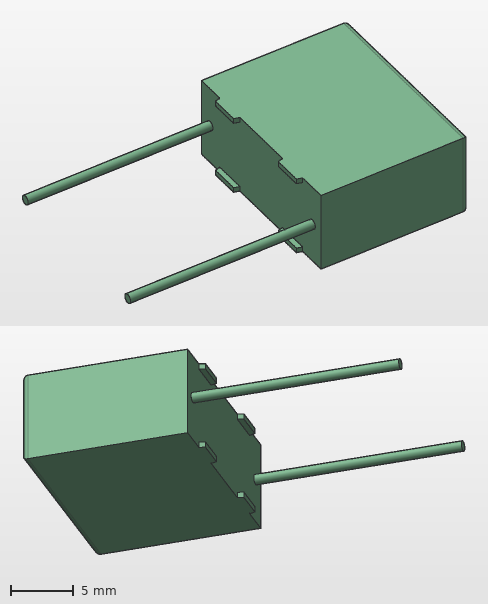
import cadquery as cq

BODY_WIDTH = 17.5
BODY_HEIGHT = 7.5
TOTAL_LENGTH = 31.5
LEAD_LENGTH = 17.5
BODY_DEPTH = TOTAL_LENGTH - LEAD_LENGTH
BACK_FILLET = 0.5

FOOT_PITCH = 9.2
FOOT_BASE_WIDTH = 2.95
FOOT_TIP_WIDTH = 2.65
FOOT_LENGTH = 0.5
FOOT_THICKNESS = 0.47

LEAD_PITCH = 15.0
LEAD_DIAMETER = 0.85

FOOT_BOTTOMS = (-BODY_HEIGHT / 2, BODY_HEIGHT / 2 - FOOT_THICKNESS)


def make_foot(x_center, z_bottom):
    """Trapezoid foot that narrows away from the lead face."""
    half_base = FOOT_BASE_WIDTH / 2
    half_tip = FOOT_TIP_WIDTH / 2
    return (
        cq.Workplane("XY")
        .polyline([(-half_base, 0), (half_base, 0), (half_tip, -FOOT_LENGTH), (-half_tip, -FOOT_LENGTH)])
        .close()
        .extrude(FOOT_THICKNESS)
        .translate((x_center, 0, z_bottom))
    )


def make_housing():
    """Block with a rounded back rim and four feet flush with its top and bottom."""
    housing = (
        cq.Workplane("XY")
        .box(BODY_WIDTH, BODY_DEPTH, BODY_HEIGHT, centered=(True, False, True))
        .faces(">Y")
        .edges()
        .fillet(BACK_FILLET)
    )
    for side in (-1, 1):
        for z_bottom in FOOT_BOTTOMS:
            housing = housing.union(make_foot(side * FOOT_PITCH / 2, z_bottom))
    return housing


def make_lead(x_center):
    """Round wire that butts against the lead face."""
    return (
        cq.Workplane("XZ")
        .center(x_center, 0)
        .circle(LEAD_DIAMETER / 2)
        .extrude(LEAD_LENGTH)
    )


housing = make_housing()
leads = [make_lead(side * LEAD_PITCH / 2) for side in (-1, 1)]

result = cq.Compound.makeCompound([housing.val(), *[lead.val() for lead in leads]])